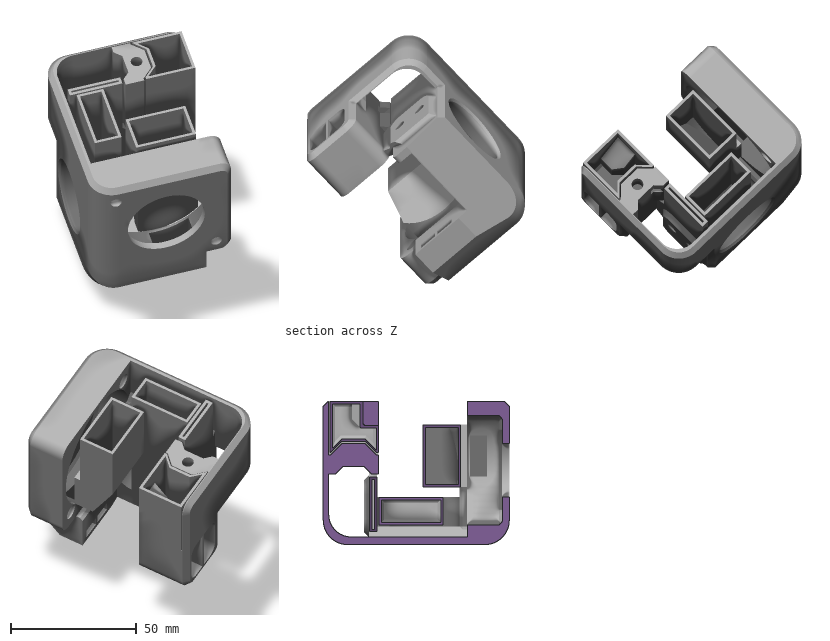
import cadquery as cq
import math

WIDTH = 74.2
DEPTH = 57.1
HEIGHT = 69.95
CORNER_R = 9.9
LEG_R = 5.0
CHAMFER = 2.1
LEFT_WALL = 2.4
FRONT_WALL = 3.3
INNER_CORNER_R = 8.75

NOTCH_X = 18.5
NOTCH_Y = 31.0
NOTCH_Z = 39.8

LEG_RIGHT = 22.25
LEG_BOTTOM = 17.0
LEG_ROOF = NOTCH_Z + CHAMFER
TUNNEL_FRONT = 35.3
TUNNEL_REAR = 53.8
TUNNEL_BOTTOM = 20.3
TUNNEL_TOP = 39.7
TUNNEL_R = 4.0
RIB = 1.1
COLUMN_LEFT = 2.1
COLUMN_CENTER_X = (COLUMN_LEFT + LEG_RIGHT) / 2
COLUMN_FLAT = 9.3
EAR_FRONT = 28.2
EAR_WIDTH = 3.0
COLUMN_REAR = 40.35
COLUMN_SLOPE = 4.45
COLUMN_TOP = 69.45
COLUMN_HOLE_Y = 35.7
COLUMN_HOLE_DEPTH = 10.0
POCKET_X = 15.1
POCKET_WIDTH = 4.15
POCKET_Z = 57.1
POCKET_HEIGHT = 5.9
POCKET_DEPTH = 5.9
RAMP_LEFT = 12.8
RAMP_FRONT = 47.5
RAMP_CUT = 3.5
RAMP_RISE = 39.85

PLATE_RIGHT = 21.7
PLATE_REAR = 26.0
PLATE_FOOT_R = 2.2
PLATE_BEVEL_Y = 27.0
PLATE_SLOPE = 12.2
PAD_FRONT = 2.9
PAD_REAR = 27.6
PAD_BOTTOM = 8.9
PAD_TOP = 36.8
PAD_R = 7.2
SCREW_D = 4.7
PLATE_HOLES_Y = (10.1, 20.55)
PLATE_HOLE_Z = 24.6

FAN_X = 38.2
FAN_Z = 27.5
FAN_HOLE_D = 29.2
FAN_HOLE_CHAMFER = 0.9
TROUGH_D = 32.0
TROUGH_TOP = 16.6
THICK_WALL = 7.2
TROUGH_REAR = 18.9
WALL_SHOULDER = 45.8
SIDE_BEVEL = 1.2
FLOOR_Z = 1.2

LEG_INNER = 57.4
DUCT_LEFT = 54.45
DUCT_FRONT = 22.9
DUCT_REAR = 46.3
DUCT_LEDGE = 15.8
NOSE_Z = 6.0
NOSE_Y = 23.15
BEVEL_X = 64.9
BLOWER_Y = 29.7
BLOWER_Z = 43.55
BLOWER_R = 24.8
INTAKE_D = 32.0
BLOWER_RIM = 1.1
BLOWER_FLOOR_X = 71.2
BLOWER_SCREWS = ((8.9, 62.8), (50.45, 24.3))
BLOWER_SCREW_D = 4.5
BLOWER_TAB_D = 6.2
OUTLET_FRONT = 27.0
OUTLET_REAR = 43.4
OUTLET_BOTTOM = 2.0
OUTLET_TOP = 6.1
OUTLET_RIB = 1.1
OUTLET_WALL = 1.1
DUCT_RIGHT = 65.3

SHELL = 1.1
LEFT_SUPPORT_X = 2.75
SUPPORT_GAP = 0.75
SLAB_FRONT = 5.2
SLAB_SLOT = 0.8
FRONT_SUPPORT_RIGHT = 47.9
FRONT_SUPPORT_Y = 7.8
RIGHT_SUPPORT_X = 39.8
RIGHT_SUPPORT_END = 54.8
RIGHT_SUPPORT_REAR = 47.7
RIGHT_SUPPORT_R = 24.5
RIGHT_SUPPORT_TOP_Z = 44.15
RIGHT_SUPPORT_LOW_Z = 16.1


def block(x0, x1, y0, y1, z0, z1):
    return cq.Workplane("XY").box(x1 - x0, y1 - y0, z1 - z0, centered=False).translate((x0, y0, z0))


def prism_x(points, x0, x1):
    """Extrude a (Y, Z) outline from x0 to x1."""
    return cq.Workplane("YZ").workplane(offset=x0).polyline(points).close().extrude(x1 - x0)


def prism_y(points, y0, y1):
    """Extrude an (X, Z) outline from y0 to y1."""
    return cq.Workplane("XZ").workplane(offset=-y0).polyline(points).close().extrude(y0 - y1)


def prism_z(points, z0, z1):
    """Extrude an (X, Y) outline from z0 to z1."""
    return cq.Workplane("XY").workplane(offset=z0).polyline(points).close().extrude(z1 - z0)


def cylinder_x(y, z, radius, x0, x1):
    return cq.Workplane("YZ").workplane(offset=x0).center(y, z).circle(radius).extrude(x1 - x0)


def cylinder_y(radius, y0, y1):
    """Cylinder on the axis of the hotend fan."""
    return cq.Workplane("XZ").workplane(offset=-y0).center(FAN_X, FAN_Z).circle(radius).extrude(y0 - y1)


def edges_in(body, low, high):
    """Edges that lie wholly inside the box between two corners."""
    return body.edges(cq.selectors.BoxSelector(low, high, boundingbox=True)).vals()


def outer_envelope():
    """Rounded outer block with the left corner opened and its outside edges chamfered."""
    body = block(0, WIDTH, 0, DEPTH, 0, HEIGHT)
    body = body.cut(prism_y([(BEVEL_X, 0), (WIDTH, 0), (WIDTH, WIDTH - BEVEL_X)], 0, DEPTH))
    bevel_middle = ((BEVEL_X + WIDTH) / 2, 0, (WIDTH - BEVEL_X) / 2)
    front_corners = body.edges("|Z and <Y").vals()
    front_corners += body.edges(cq.selectors.NearestToPointSelector(bevel_middle)).vals()
    body = body.newObject(front_corners).fillet(CORNER_R)
    body = body.edges("|X and >Y and >Z").fillet(LEG_R)
    body = body.cut(block(0, NOTCH_X, 0, NOTCH_Y, 0, NOTCH_Z))
    legs = block(0, WIDTH, NOTCH_Y, DEPTH, 0, HEIGHT).cut(block(0, WIDTH, 0, DEPTH, 0, LEG_BOTTOM))
    legs = legs.edges("|X and <Z").fillet(LEG_R)
    below_legs = block(0, LEG_RIGHT, NOTCH_Y, DEPTH, 0, LEG_BOTTOM + LEG_R)
    below_legs = below_legs.union(block(LEG_RIGHT, WIDTH, DUCT_REAR, DEPTH, 0, LEG_BOTTOM + LEG_R))
    body = body.cut(below_legs.cut(legs))
    tol = 0.01
    right = WIDTH + tol
    rear = DEPTH + tol
    top = HEIGHT + tol
    left_outline = edges_in(body, (-tol, CORNER_R - tol, LEG_BOTTOM - tol), (tol, rear, top))
    top_rim = edges_in(body, (-tol, -tol, HEIGHT - tol), (right, DEPTH - LEG_R + tol, top))
    notch_roof = edges_in(body, (-tol, -tol, NOTCH_Z - tol), (NOTCH_X + tol, CORNER_R + tol, NOTCH_Z + tol))
    notch_side = edges_in(body, (NOTCH_X - tol, -tol, -tol), (NOTCH_X + tol, tol, NOTCH_Z + tol))
    right_rear = edges_in(
        body, (WIDTH - tol, DEPTH - LEG_R - tol, LEG_BOTTOM + LEG_R - tol), (right, rear, top)
    )
    outside = left_outline + top_rim + notch_roof + notch_side + right_rear

    def is_outside(edge):
        middle = edge.Center()
        box = edge.BoundingBox()
        tangent_seam = box.zlen > tol and abs(middle.y - CORNER_R) < tol
        rear_rim = box.xlen > CORNER_R and middle.y > DEPTH - LEG_R - tol
        return not (tangent_seam or rear_rim)

    unique = {edge.hashCode(): edge for edge in outside if is_outside(edge)}
    return body.newObject(list(unique.values())).chamfer(CHAMFER)


def front_wall():
    """Thick lower wall with a sloped shoulder, plus the trough block with its quarter-round side channel."""
    slope = THICK_WALL - FRONT_WALL
    wall = prism_x(
        [(0, 0), (THICK_WALL, 0), (THICK_WALL, WALL_SHOULDER), (FRONT_WALL, WALL_SHOULDER + slope),
         (0, WALL_SHOULDER + slope)],
        NOTCH_X, LEG_INNER,
    )
    right_wall = prism_y(
        [(DUCT_LEFT, 0), (LEG_INNER, 0), (LEG_INNER, WALL_SHOULDER + SIDE_BEVEL),
         (DUCT_LEFT + SIDE_BEVEL, WALL_SHOULDER + SIDE_BEVEL), (DUCT_LEFT, WALL_SHOULDER)],
        0, THICK_WALL,
    )
    trough_block = block(NOTCH_X, DUCT_LEFT, 0, TROUGH_REAR, 0, TROUGH_TOP)
    channel_r = DUCT_LEFT - FRONT_SUPPORT_RIGHT
    channel = (
        cq.Workplane("XZ").workplane(offset=-THICK_WALL).center(FRONT_SUPPORT_RIGHT, TROUGH_TOP)
        .circle(channel_r).extrude(THICK_WALL - TROUGH_REAR)
        .intersect(block(FRONT_SUPPORT_RIGHT, DUCT_LEFT, 0, DEPTH, 0, TROUGH_TOP))
    )
    return wall.union(right_wall).union(trough_block.cut(channel))


def screw_plate():
    bend_z = PLATE_REAR - PLATE_SLOPE
    plate = prism_x(
        [(0, FLOOR_Z), (PLATE_REAR, FLOOR_Z), (PLATE_REAR, bend_z), (NOTCH_Y, NOTCH_Y - PLATE_SLOPE),
         (NOTCH_Y, LEG_ROOF - NOTCH_Y + PLATE_BEVEL_Y), (PLATE_BEVEL_Y, LEG_ROOF), (0, LEG_ROOF)],
        NOTCH_X, PLATE_RIGHT,
    )
    return plate.edges(
        cq.selectors.NearestToPointSelector((NOTCH_X + CHAMFER, PLATE_REAR, FLOOR_Z))
    ).fillet(PLATE_FOOT_R)


def screw_pad():
    """Pad on the left of the screw plate, bevelled all round and trimmed with the plate."""
    pad = (
        cq.Sketch()
        .rect(PAD_REAR - PAD_FRONT, PAD_TOP - PAD_BOTTOM)
        .vertices(">Y").fillet(PAD_R)
    )
    center = cq.Vector(NOTCH_X, (PAD_FRONT + PAD_REAR) / 2, (PAD_BOTTOM + PAD_TOP) / 2)
    plane = cq.Plane(origin=center, xDir=(0, -1, 0), normal=(-1, 0, 0))
    solid = cq.Workplane(plane).placeSketch(pad).extrude(CHAMFER, taper=45)
    below_slope = prism_x(
        [(PLATE_SLOPE, 0), (DEPTH, 0), (DEPTH, DEPTH - PLATE_SLOPE)], 0, NOTCH_X
    )
    return solid.cut(below_slope)


def plate_holes():
    holes = cq.Workplane("XY")
    for y in PLATE_HOLES_Y:
        holes = holes.union(cylinder_x(y, PLATE_HOLE_Z, SCREW_D / 2, 0, LEG_RIGHT))
    return holes


def ramp(raised, margin=0.0):
    """Corner block with a 45 degree top that rises to the right, above the left leg roof."""
    left = RAMP_LEFT + margin
    front = RAMP_FRONT + margin
    top = RAMP_RISE + raised
    outline = [
        (left, DEPTH), (left, front + RAMP_CUT), (left + RAMP_CUT, front),
        (LEG_RIGHT, front), (LEG_RIGHT, DEPTH),
    ]
    under_slope = prism_y(
        [(0, LEG_ROOF), (LEG_RIGHT, LEG_ROOF), (LEG_RIGHT, top + LEG_RIGHT), (0, top)], 0, DEPTH
    )
    return prism_z(outline, LEG_ROOF, HEIGHT).intersect(under_slope)


def column_rear(gap):
    """Bevelled outline of the column's rear side, moved back by a gap."""
    half = COLUMN_FLAT / 2
    left_flat = COLUMN_CENTER_X - half
    right_flat = COLUMN_CENTER_X + half
    rear = COLUMN_REAR + gap
    corner = rear - COLUMN_SLOPE
    return [
        (right_flat + COLUMN_SLOPE, corner), (right_flat, rear),
        (left_flat, rear), (left_flat - COLUMN_SLOPE, corner),
    ]


def screw_column():
    left_ear = COLUMN_LEFT + EAR_WIDTH
    right_ear = LEG_RIGHT - EAR_WIDTH
    step = NOTCH_Y - EAR_FRONT
    rear = column_rear(0)
    corner_y = rear[0][1]
    outline = [
        (COLUMN_LEFT, EAR_FRONT), (left_ear, EAR_FRONT), (left_ear + step, NOTCH_Y),
        (right_ear - step, NOTCH_Y), (right_ear, EAR_FRONT), (LEG_RIGHT, EAR_FRONT),
        (LEG_RIGHT, corner_y), *rear, (COLUMN_LEFT, corner_y),
    ]
    column = prism_z(outline, LEG_ROOF, COLUMN_TOP)
    hole = (
        cq.Workplane("XY").workplane(offset=COLUMN_TOP - COLUMN_HOLE_DEPTH)
        .center(COLUMN_CENTER_X, COLUMN_HOLE_Y).circle(SCREW_D / 2).extrude(COLUMN_HOLE_DEPTH)
    )
    pocket = block(
        POCKET_X, POCKET_X + POCKET_WIDTH, EAR_FRONT, EAR_FRONT + POCKET_DEPTH,
        POCKET_Z, POCKET_Z + POCKET_HEIGHT,
    )
    return column.cut(hole).cut(pocket)


def left_leg_top():
    return ramp(0).union(screw_column())


def interior():
    """Space inside the walls, without the left leg."""
    space = block(LEFT_WALL, LEG_INNER, FRONT_WALL, DEPTH, 0, HEIGHT)
    space = space.edges("|Z and <X and <Y").fillet(INNER_CORNER_R)
    return space.cut(block(0, LEG_RIGHT, NOTCH_Y, DEPTH, 0, LEG_ROOF))


def leg_tunnel():
    """Rounded passage along X, divided lengthwise by a thin rib."""
    tunnel = block(0, LEG_RIGHT, TUNNEL_FRONT, TUNNEL_REAR, TUNNEL_BOTTOM, TUNNEL_TOP)
    tunnel = tunnel.edges("|X").fillet(TUNNEL_R)
    rib_y = (TUNNEL_FRONT + TUNNEL_REAR) / 2
    rib = block(0, LEG_RIGHT, rib_y - RIB / 2, rib_y + RIB / 2, TUNNEL_BOTTOM, TUNNEL_TOP)
    return tunnel.cut(rib)


def outlet_ledge():
    """Inner side of the outlet duct with a bevelled top, carried on to the front wall."""
    return prism_y(
        [(DUCT_LEFT, 0), (LEG_INNER, 0), (LEG_INNER, DUCT_LEDGE + SIDE_BEVEL),
         (DUCT_LEFT + SIDE_BEVEL, DUCT_LEDGE + SIDE_BEVEL), (DUCT_LEFT, DUCT_LEDGE)],
        FRONT_WALL, DUCT_REAR,
    )


def blower_cavity():
    """Pocket with two screw tabs, the intake and screw holes, and the outlet duct below."""
    cavity = cylinder_x(BLOWER_Y, BLOWER_Z, BLOWER_R, LEG_INNER, BLOWER_FLOOR_X)
    cavity = cavity.faces(">X").chamfer(BLOWER_RIM)
    cavity = cavity.union(cylinder_x(BLOWER_Y, BLOWER_Z, INTAKE_D / 2, LEG_INNER, WIDTH))
    for y, z in BLOWER_SCREWS:
        cavity = cavity.union(cylinder_x(y, z, BLOWER_TAB_D / 2, LEG_INNER, BLOWER_FLOOR_X))
        cavity = cavity.union(cylinder_x(y, z, BLOWER_SCREW_D / 2, LEG_INNER, WIDTH))
    shaft = block(
        LEG_INNER + OUTLET_WALL, DUCT_RIGHT, OUTLET_FRONT, OUTLET_REAR, OUTLET_TOP, BLOWER_Z
    )
    outlet = block(DUCT_LEFT, DUCT_RIGHT, OUTLET_FRONT, OUTLET_REAR, OUTLET_BOTTOM, OUTLET_TOP)
    rib_y = (OUTLET_FRONT + OUTLET_REAR) / 2
    rib = block(
        DUCT_LEFT, LEG_INNER, rib_y - OUTLET_RIB / 2, rib_y + OUTLET_RIB / 2, OUTLET_BOTTOM, OUTLET_TOP
    )
    return cavity.union(shaft).union(outlet.cut(rib))


def underside_cuts():
    """Sloped nose and raised floor on the left."""
    nose = prism_x([(0, 0), (NOSE_Y, 0), (0, NOSE_Z)], 0, WIDTH)
    raised_floor = block(0, DUCT_LEFT, 0, DEPTH, 0, FLOOR_Z)
    return nose.union(raised_floor)


def build_housing():
    envelope = outer_envelope()
    body = envelope.cut(interior())
    for detail in (front_wall(), screw_plate(), outlet_ledge()):
        body = body.union(detail.intersect(envelope))
    body = body.union(left_leg_top()).union(screw_pad())
    fan_rim = cq.Workplane(cq.Solid.makeCone(
        FAN_HOLE_D / 2 + FAN_HOLE_CHAMFER, FAN_HOLE_D / 2, FAN_HOLE_CHAMFER,
        pnt=cq.Vector(FAN_X, 0, FAN_Z), dir=cq.Vector(0, 1, 0),
    ))
    body = body.cut(cylinder_y(FAN_HOLE_D / 2, 0, TROUGH_REAR)).cut(fan_rim)
    body = body.cut(cylinder_y(TROUGH_D / 2, THICK_WALL, TROUGH_REAR))
    body = body.cut(leg_tunnel()).cut(plate_holes()).cut(blower_cavity())
    return body.cut(underside_cuts())


def build_left_support():
    """Hollow box behind the screw column, shaped to the column and the ramp."""
    def behind_column(inset):
        rear = column_rear(SUPPORT_GAP + inset)
        corner = rear[0][1]
        column_side = prism_z(
            [(0, 0), (LEG_RIGHT, 0), (LEG_RIGHT, corner), *rear, (0, corner)], LEG_ROOF, HEIGHT
        )
        box = block(
            LEFT_SUPPORT_X + inset, LEG_RIGHT - inset, NOTCH_Y, DEPTH - inset, LEG_ROOF + inset, HEIGHT
        )
        return box.cut(column_side)

    cavity = behind_column(SHELL).faces("<Z").chamfer(SHELL).cut(ramp(SHELL, -SHELL))
    return behind_column(0).cut(ramp(0)).cut(cavity)


def build_slab_support():
    """Thin slotted wall standing on the screw plate."""
    body = block(NOTCH_X, PLATE_RIGHT, SLAB_FRONT, PLATE_BEVEL_Y, LEG_ROOF, HEIGHT)
    shoulder = prism_x(
        [(0, 0), (THICK_WALL, 0), (THICK_WALL, WALL_SHOULDER), (0, WALL_SHOULDER + THICK_WALL)],
        NOTCH_X, PLATE_RIGHT,
    )
    body = body.cut(shoulder)
    middle = (NOTCH_X + PLATE_RIGHT) / 2
    slot = block(
        middle - SLAB_SLOT / 2, middle + SLAB_SLOT / 2, SLAB_FRONT + SHELL, PLATE_BEVEL_Y - SHELL,
        WALL_SHOULDER + THICK_WALL, HEIGHT,
    )
    return body.cut(slot)


def build_front_support():
    """Box standing in the fan trough, with a cavity above the trough."""
    left = FAN_X - TROUGH_D / 2
    body = block(left, FRONT_SUPPORT_RIGHT, FRONT_SUPPORT_Y, TROUGH_REAR, TROUGH_TOP, HEIGHT)
    base = cylinder_y(TROUGH_D / 2, FRONT_SUPPORT_Y, TROUGH_REAR)
    base = base.intersect(block(left, FRONT_SUPPORT_RIGHT, 0, DEPTH, 0, TROUGH_TOP))
    cavity = block(
        left + SHELL, FRONT_SUPPORT_RIGHT - SHELL, FRONT_SUPPORT_Y + SHELL, TROUGH_REAR - SHELL,
        TROUGH_TOP + SHELL, HEIGHT,
    ).faces("<Z").chamfer(SHELL)
    return body.union(base).cut(cavity)


def build_right_support():
    """Box with a slanted underside, rounded to the blower pocket, and a foot against the right leg."""
    def above_slope(raised):
        return prism_y(
            [(RIGHT_SUPPORT_X, RIGHT_SUPPORT_TOP_Z + raised), (RIGHT_SUPPORT_END, RIGHT_SUPPORT_LOW_Z + raised),
             (LEG_INNER, RIGHT_SUPPORT_LOW_Z + raised), (LEG_INNER, HEIGHT), (RIGHT_SUPPORT_X, HEIGHT)],
            DUCT_FRONT, RIGHT_SUPPORT_REAR,
        )

    def rounded_bottom(radius):
        upper = block(RIGHT_SUPPORT_X, LEG_INNER, 0, DEPTH, BLOWER_Z, HEIGHT)
        return upper.union(cylinder_x(BLOWER_Y, BLOWER_Z, radius, RIGHT_SUPPORT_X, LEG_INNER))

    box = block(RIGHT_SUPPORT_X, RIGHT_SUPPORT_END, DUCT_FRONT, RIGHT_SUPPORT_REAR, 0, HEIGHT)
    foot = block(RIGHT_SUPPORT_END, LEG_INNER, DUCT_FRONT, RIGHT_SUPPORT_REAR, 0, BLOWER_Z)
    body = box.union(foot).intersect(above_slope(0)).intersect(rounded_bottom(RIGHT_SUPPORT_R))
    slope_angle = math.atan2(RIGHT_SUPPORT_TOP_Z - RIGHT_SUPPORT_LOW_Z, RIGHT_SUPPORT_END - RIGHT_SUPPORT_X)
    cavity = block(
        RIGHT_SUPPORT_X + SHELL, RIGHT_SUPPORT_END - SHELL,
        DUCT_FRONT + SHELL, RIGHT_SUPPORT_REAR - SHELL, 0, HEIGHT,
    )
    cavity = cavity.intersect(above_slope(SHELL / math.cos(slope_angle)))
    return body.cut(cavity.intersect(rounded_bottom(RIGHT_SUPPORT_R - SHELL)))


housing = build_housing()
left_support = build_left_support()
slab_support = build_slab_support()
front_support = build_front_support()
right_support = build_right_support()

result = cq.Compound.makeCompound([
    housing.solids().val(),
    left_support.solids().val(),
    slab_support.solids().val(),
    front_support.solids().val(),
    right_support.solids().val(),
])